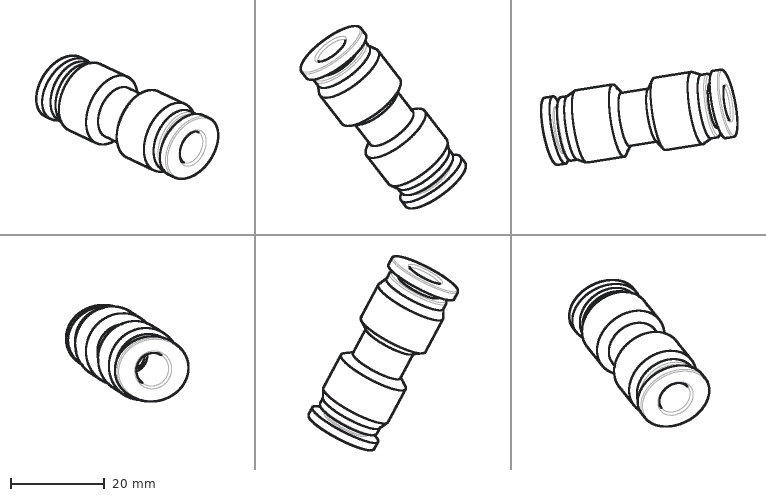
import cadquery as cq

LENGTH = 39.3
HALF_LENGTH = LENGTH / 2

BODY_DIAMETER = 15.7
COLLAR_DIAMETER = 13.8
WAIST_DIAMETER = 11.5
NECK_DIAMETER = 9.7

FLANGE_WIDTH = 15.9
FLANGE_HEIGHT = 13.87
FLANGE_THICKNESS = 1.95

COLLAR_START = 3.22
FRONT_CONE_START = 4.9
BODY_START = 6.88
BODY_END = 15.05
WAIST_START = 16.6

SOCKET_DIAMETER = 7.2
PASSAGE_DIAMETER = 6.0
SOCKET_DEPTH = WAIST_START

FLANGE_ROUND = 0.28
COLLAR_ROUND = 0.35
NECK_ROUND = 0.25
MOUTH_ROUND = 0.5


def cylinder(diameter, start, length):
    """Solid cylinder on the X axis, running toward +X from start."""
    return cq.Workplane("YZ", origin=(start, 0, 0)).circle(diameter / 2).extrude(length)


def make_body():
    """Revolve two coned barrels joined by the waist."""
    collar_x = HALF_LENGTH - COLLAR_START
    left_profile = [
        (-collar_x, COLLAR_DIAMETER / 2),
        (FRONT_CONE_START - HALF_LENGTH, COLLAR_DIAMETER / 2),
        (BODY_START - HALF_LENGTH, BODY_DIAMETER / 2),
        (BODY_END - HALF_LENGTH, BODY_DIAMETER / 2),
        (WAIST_START - HALF_LENGTH, WAIST_DIAMETER / 2),
    ]
    right_profile = [(-x, radius) for x, radius in reversed(left_profile)]
    profile = [(-collar_x, 0)] + left_profile + right_profile + [(collar_x, 0)]
    body = cq.Workplane("XY").polyline(profile).close().revolve(360, (0, 0, 0), (1, 0, 0))
    return body.faces("<X or >X").edges().fillet(COLLAR_ROUND)


def make_left_sleeve():
    """Build the elliptical flange with its round neck reaching the collar."""
    flange = (
        cq.Workplane("YZ", origin=(-HALF_LENGTH, 0, 0))
        .ellipse(FLANGE_WIDTH / 2, FLANGE_HEIGHT / 2)
        .extrude(FLANGE_THICKNESS)
        .faces("<X")
        .edges()
        .fillet(FLANGE_ROUND)
    )
    neck_start = FLANGE_THICKNESS - HALF_LENGTH
    neck = cylinder(NECK_DIAMETER, neck_start, COLLAR_START - FLANGE_THICKNESS)
    sleeve = flange.union(neck)
    neck_root = sleeve.edges("%CIRCLE").edges("<X")
    return neck_root.fillet(NECK_ROUND)


def cut_bore(part):
    """Cut the through passage and both sockets, then round their mouths."""
    part = part.cut(cylinder(PASSAGE_DIAMETER, -HALF_LENGTH, LENGTH))
    for start in (-HALF_LENGTH, HALF_LENGTH - SOCKET_DEPTH):
        part = part.cut(cylinder(SOCKET_DIAMETER, start, SOCKET_DEPTH))
    return part.faces("<X or >X").edges("%CIRCLE").fillet(MOUTH_ROUND)


left_sleeve = make_left_sleeve()
right_sleeve = left_sleeve.mirror("YZ")
result = cut_bore(make_body().union(left_sleeve).union(right_sleeve))